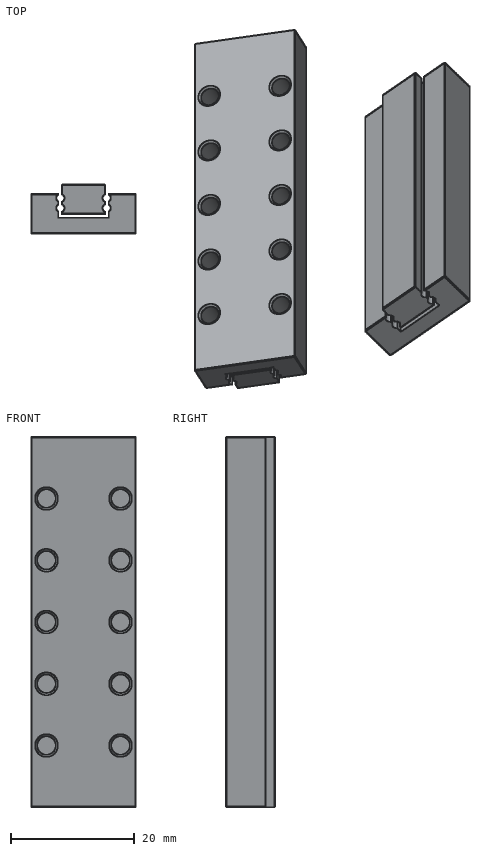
import cadquery as cq

length = 60.0
edge_chamfer = 0.15

housing_width = 17.0
housing_height = 6.5
slot_width = 8.1
slot_floor = 2.6

rail_width = 7.0
rail_bottom = 3.15
rail_top = 8.0

track_diameter = 1.3
track_offset = 3.75
track_heights = (4.15, 5.78)

hole_diameter = 3.0
hole_mouth_diameter = 3.7
hole_depth = 5.0
hole_spacing = 12.0
hole_pitch = 10.0
hole_rows = 5


def bar(width, bottom, top):
    """Rectangular bar centred on X, running the full length from Z = 0."""
    block = cq.Workplane("XY").box(width, top - bottom, length, centered=(True, False, False))
    return block.translate((0, bottom, 0))


def make_tracks():
    """Four round rods that hollow out the ball tracks."""
    centres = [(side * track_offset, height) for side in (-1, 1) for height in track_heights]
    return cq.Workplane("XY").pushPoints(centres).circle(track_diameter / 2).extrude(length)


def make_mounting_holes():
    """Two columns of blind holes with a countersunk mouth, bored from the base."""
    first_row = (length - (hole_rows - 1) * hole_pitch) / 2
    mouth_depth = (hole_mouth_diameter - hole_diameter) / 2
    half_profile = [
        (0, 0),
        (hole_mouth_diameter / 2, 0),
        (hole_diameter / 2, mouth_depth),
        (hole_diameter / 2, hole_depth),
        (0, hole_depth),
    ]
    hole = cq.Workplane("XY").polyline(half_profile).close().revolve(360, (0, 0, 0), (0, 1, 0))
    holes = cq.Workplane("XY")
    for row in range(hole_rows):
        for side in (-1, 1):
            holes = holes.add(hole.translate((side * hole_spacing / 2, 0, first_row + row * hole_pitch)))
    return holes.combine()


def make_housing():
    """Chamfered block with the rail slot, ball tracks and mounting holes."""
    body = bar(housing_width, 0, housing_height).edges().chamfer(edge_chamfer)
    slot = bar(slot_width, slot_floor, housing_height)
    return body.cut(slot).cut(make_tracks()).cut(make_mounting_holes())


def make_rail():
    """Bar chamfered on its end edges and its outer long edges, with ball tracks in its sides."""
    body = bar(rail_width, rail_bottom, rail_top)
    body = body.edges("|X or (|Z and >Y)").chamfer(edge_chamfer)
    return body.cut(make_tracks())


housing = make_housing()
rail = make_rail()

result = cq.Compound.makeCompound([housing.val(), rail.val()])